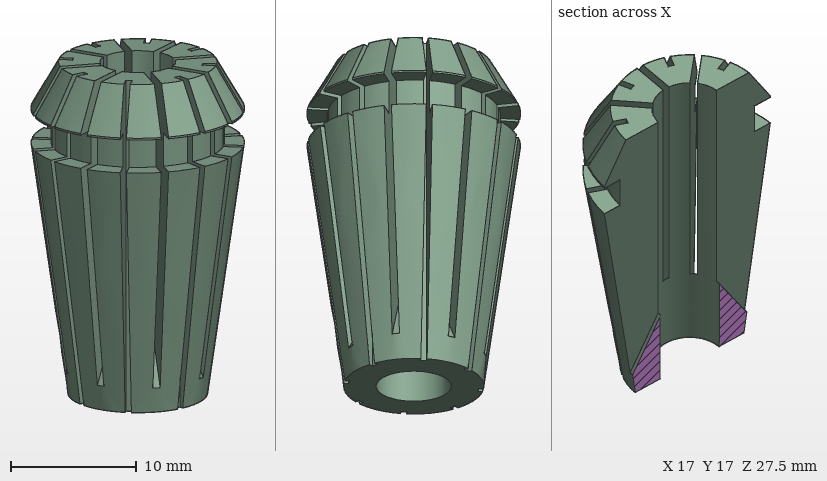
import cadquery as cq
import math

length = 27.5
max_radius = 8.5
bore_radius = 3.0
body_taper_angle = 8.0
body_top_z = 20.8
groove_radius = 6.9
head_cone_angle = 30.0
head_cone_height = 3.8
head_rim_height = 0.15

main_slot_count = 8
main_slot_width = 0.6
main_slot_outer_z = 2.1
main_slot_inner_z = 6.9

relief_slot_count = 8
relief_slot_width = 0.5
relief_slot_floor_radius = 5.2

cutter_clearance = 1.0
slot_reach = max_radius + cutter_clearance

taper_slope = math.tan(math.radians(body_taper_angle))
bottom_radius = max_radius - body_top_z * taper_slope
top_radius = max_radius - head_cone_height * math.tan(math.radians(head_cone_angle))
head_cone_z = length - head_cone_height
head_bottom_z = head_cone_z - head_rim_height


def make_blank():
    """Collet without slots: long taper, groove and nose cone around the bore."""
    return (
        cq.Workplane("XZ")
        .moveTo(bore_radius, 0)
        .lineTo(bottom_radius, 0)
        .lineTo(max_radius, body_top_z)
        .lineTo(groove_radius, body_top_z)
        .lineTo(groove_radius, head_bottom_z)
        .lineTo(max_radius, head_bottom_z)
        .lineTo(max_radius, head_cone_z)
        .lineTo(top_radius, length)
        .lineTo(bore_radius, length)
        .close()
        .revolve(360, (0, 0, 0), (0, 1, 0))
    )


def make_radial_slab(inner_radius, width):
    """Full-height slab along +X, running outward from inner_radius."""
    return (
        cq.Workplane("XY")
        .box(slot_reach - inner_radius, width, length, centered=(False, True, False))
        .translate((inner_radius, 0, 0))
    )


def make_floor_cone():
    """Solid cone whose flank is the floor of every main slot."""
    outer_radius = bottom_radius + main_slot_outer_z * taper_slope
    floor_slope = (main_slot_inner_z - main_slot_outer_z) / (outer_radius - bore_radius)
    apex_z = main_slot_inner_z + bore_radius * floor_slope
    base_radius = apex_z / floor_slope
    return (
        cq.Workplane("XZ")
        .lineTo(base_radius, 0)
        .lineTo(0, apex_z)
        .close()
        .revolve(360, (0, 0, 0), (0, 1, 0))
    )


def cut_around_axis(body, cutter, count, first_angle):
    """Cut count evenly spaced copies of cutter from body, turning about Z."""
    for index in range(count):
        angle = first_angle + index * 360.0 / count
        body = body.cut(cutter.rotate((0, 0, 0), (0, 0, 1), angle))
    return body


main_slot = make_radial_slab(0, main_slot_width).cut(make_floor_cone())
relief_slot = make_radial_slab(relief_slot_floor_radius, relief_slot_width)
relief_slot_offset = 180.0 / main_slot_count

result = make_blank()
result = cut_around_axis(result, main_slot, main_slot_count, 0)
result = cut_around_axis(result, relief_slot, relief_slot_count, relief_slot_offset)